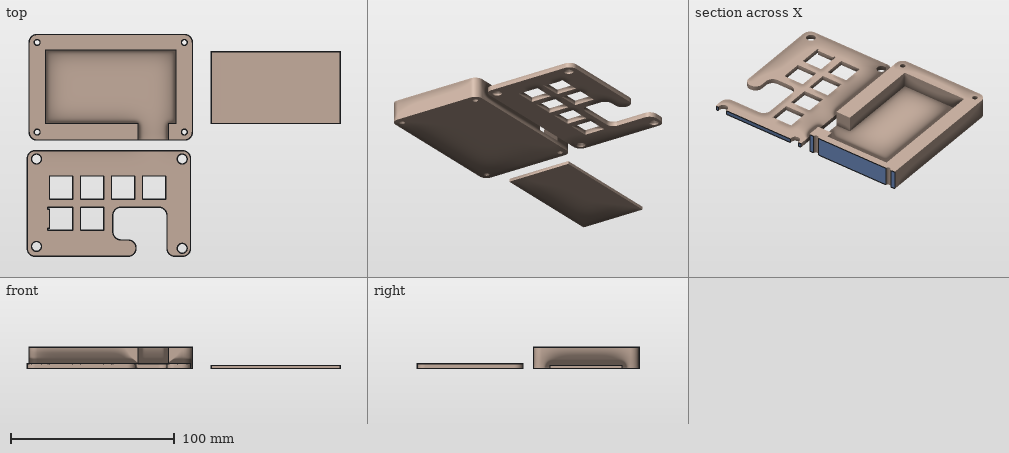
import cadquery as cq

OVERALL_LENGTH = 191.5
OVERALL_WIDTH = 135.8

BODY_LENGTH = 100.0
BODY_WIDTH = 64.7
CORNER_RADIUS = 5.0

EXIT_LEFT = 66.7
EXIT_RIGHT = 85.5
FRONT_WALL = 10.2

CASE_HEIGHT = 13.0
FLOOR_THICKNESS = 2.7
CAVITY_LENGTH = 80.0
CAVITY_WIDTH = 45.0
CASE_X = 1.1
CASE_Y = OVERALL_WIDTH - BODY_WIDTH
SCREW_HOLE_DIAMETER = 3.5
SCREW_HOLE_INSET = CORNER_RADIUS

PLATE_THICKNESS = 3.0
PLATE_HOLE_DIAMETER = 6.0
PLATE_HOLE_LEFT = 5.7
PLATE_HOLE_INSET = 5.2
PLATE_HOLE_RIGHT = BODY_LENGTH - PLATE_HOLE_INSET
PLATE_HOLE_BACK = BODY_WIDTH - PLATE_HOLE_INSET
PLATE_HOLE_FRONT_LEFT = 6.1
PLATE_HOLE_FRONT_RIGHT = 5.0

KEY_SIZE = 14.0
KEY_PITCH = 19.0
KEY_FIRST_X = 13.8
KEY_FIRST_Y = 16.0
KEYS_PER_ROW = [2, 4]
NOTCH_SIZE = 1.1

WINDOW_LEFT = 52.5
WINDOW_BACK = KEY_FIRST_Y + KEY_SIZE

SHEET_LENGTH = 79.1
SHEET_WIDTH = 44.0
SHEET_THICKNESS = 2.0
SHEET_X = OVERALL_LENGTH - SHEET_LENGTH
SHEET_Y = CASE_Y + FRONT_WALL


def block(x, y, z, length, width, height):
    """Box with its lowest corner at (x, y, z)."""
    return cq.Workplane("XY").box(length, width, height, centered=False).translate((x, y, z))


def through_holes(points, diameter, height):
    """Round cutters standing on the base plane."""
    return cq.Workplane("XY").pushPoints(points).circle(diameter / 2).extrude(height)


def make_case():
    """Open tray with corner screw holes and a cable exit in its front wall."""
    case = block(0, 0, 0, BODY_LENGTH, BODY_WIDTH, CASE_HEIGHT)
    case = case.edges("|Z").fillet(CORNER_RADIUS)

    depth = CASE_HEIGHT - FLOOR_THICKNESS
    cavity_x = (BODY_LENGTH - CAVITY_LENGTH) / 2
    case = case.cut(block(cavity_x, FRONT_WALL, FLOOR_THICKNESS, CAVITY_LENGTH, CAVITY_WIDTH, depth))
    case = case.cut(block(EXIT_LEFT, 0, FLOOR_THICKNESS, EXIT_RIGHT - EXIT_LEFT, FRONT_WALL, depth))

    screw_points = [
        (x, y)
        for x in (SCREW_HOLE_INSET, BODY_LENGTH - SCREW_HOLE_INSET)
        for y in (SCREW_HOLE_INSET, BODY_WIDTH - SCREW_HOLE_INSET)
    ]
    case = case.cut(through_holes(screw_points, SCREW_HOLE_DIAMETER, CASE_HEIGHT))
    return case.translate((CASE_X, CASE_Y, 0))


def make_plate():
    """Cover plate with key openings and a rounded window open to the front."""
    outline = [
        (0, 0),
        (EXIT_LEFT, 0),
        (EXIT_LEFT, FRONT_WALL),
        (WINDOW_LEFT, FRONT_WALL),
        (WINDOW_LEFT, WINDOW_BACK),
        (EXIT_RIGHT, WINDOW_BACK),
        (EXIT_RIGHT, 0),
        (BODY_LENGTH, 0),
        (BODY_LENGTH, BODY_WIDTH),
        (0, BODY_WIDTH),
    ]
    plate = cq.Workplane("XY").polyline(outline).close().extrude(PLATE_THICKNESS)
    plate = plate.edges("|Z").fillet(CORNER_RADIUS)

    for row, key_count in enumerate(KEYS_PER_ROW):
        for column in range(key_count):
            key_x = KEY_FIRST_X + column * KEY_PITCH
            key_y = KEY_FIRST_Y + row * KEY_PITCH
            plate = plate.cut(block(key_x, key_y, 0, KEY_SIZE, KEY_SIZE, PLATE_THICKNESS))

    for notch_y in (KEY_FIRST_Y, KEY_FIRST_Y + KEY_SIZE - NOTCH_SIZE):
        notch_x = KEY_FIRST_X - NOTCH_SIZE
        plate = plate.cut(block(notch_x, notch_y, 0, NOTCH_SIZE, NOTCH_SIZE, PLATE_THICKNESS))

    hole_points = [
        (PLATE_HOLE_LEFT, PLATE_HOLE_FRONT_LEFT),
        (PLATE_HOLE_RIGHT, PLATE_HOLE_FRONT_RIGHT),
        (PLATE_HOLE_LEFT, PLATE_HOLE_BACK),
        (PLATE_HOLE_RIGHT, PLATE_HOLE_BACK),
    ]
    return plate.cut(through_holes(hole_points, PLATE_HOLE_DIAMETER, PLATE_THICKNESS))


def make_sheet():
    """Plain thin sheet lying beside the case."""
    return block(SHEET_X, SHEET_Y, 0, SHEET_LENGTH, SHEET_WIDTH, SHEET_THICKNESS)


case = make_case()
plate = make_plate()
sheet = make_sheet()

result = cq.Compound.makeCompound([case.val(), plate.val(), sheet.val()])